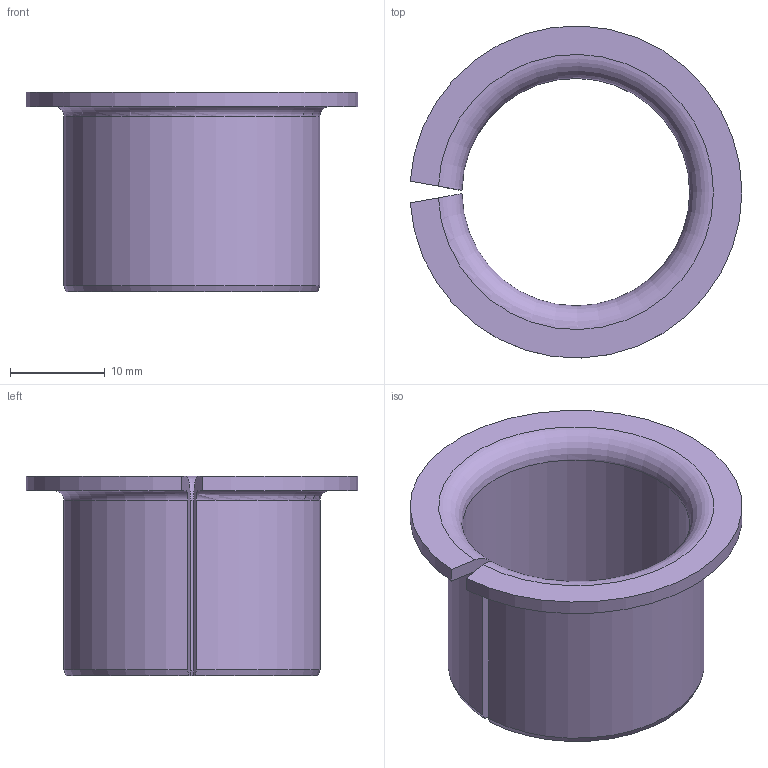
import cadquery as cq
import math

bore_diameter = 24.0
wall_thickness = 1.5
flange_diameter = 35.0
flange_thickness = 1.5
total_height = 21.0

outer_blend_radius = 1.0
bottom_chamfer_height = 0.6
bottom_chamfer_width = 0.25
bore_chamfer_height = 0.5
bore_chamfer_width = 0.2

slit_half_angle = 10.0
slit_apex_radius = 11.0
slit_overrun = 1.0

bore_radius = bore_diameter / 2
sleeve_radius = bore_radius + wall_thickness
flange_radius = flange_diameter / 2
flange_underside = total_height - flange_thickness
blend_start_height = flange_underside - outer_blend_radius
blend_end_radius = sleeve_radius + outer_blend_radius
mouth_blend_radius = outer_blend_radius + wall_thickness
mouth_start_height = total_height - mouth_blend_radius
mouth_radius = bore_radius + mouth_blend_radius


def section_point(radius, height):
    """Point of the half-section, which lies on the -X side of the axis."""
    return (-radius, height)


def blend_middle(center_radius, center_height, blend_radius):
    """Midpoint of a quarter arc that lies above its centre and towards the axis."""
    offset = blend_radius * math.sqrt(0.5)
    return section_point(center_radius - offset, center_height + offset)


def make_flanged_sleeve():
    """Revolve the half-section about Z, starting and ending where the slit will be cut."""
    outer_middle = blend_middle(blend_end_radius, blend_start_height, outer_blend_radius)
    mouth_middle = blend_middle(mouth_radius, mouth_start_height, mouth_blend_radius)
    section = (
        cq.Workplane("XZ")
        .moveTo(*section_point(bore_radius + bore_chamfer_width, 0))
        .lineTo(*section_point(sleeve_radius - bottom_chamfer_width, 0))
        .lineTo(*section_point(sleeve_radius, bottom_chamfer_height))
        .lineTo(*section_point(sleeve_radius, blend_start_height))
        .threePointArc(outer_middle, section_point(blend_end_radius, flange_underside))
        .lineTo(*section_point(flange_radius, flange_underside))
        .lineTo(*section_point(flange_radius, total_height))
        .lineTo(*section_point(mouth_radius, total_height))
        .threePointArc(mouth_middle, section_point(bore_radius, mouth_start_height))
        .lineTo(*section_point(bore_radius, bore_chamfer_height))
        .close()
    )
    return section.revolve(360, (0, 0, 0), (0, 1, 0))


def make_slit():
    """Full-height wedge that splits the sleeve and the flange on the -X side."""
    outer_end = flange_radius + slit_overrun
    half_opening = (outer_end - slit_apex_radius) * math.tan(math.radians(slit_half_angle))
    return (
        cq.Workplane("XY")
        .moveTo(-slit_apex_radius, 0)
        .lineTo(-outer_end, half_opening)
        .lineTo(-outer_end, -half_opening)
        .close()
        .extrude(total_height)
    )


result = make_flanged_sleeve().cut(make_slit())